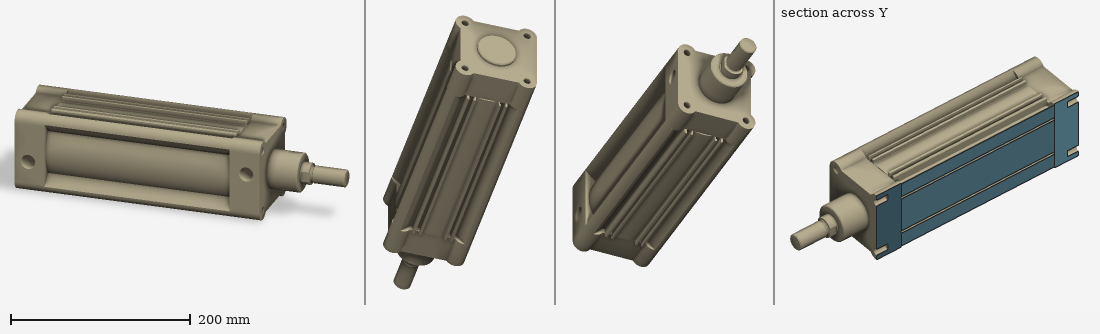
import cadquery as cq
import math


TOTAL_LENGTH = 378.0
BOSS_LENGTH = 3.8
CAP_LENGTH = 35.0
BARREL_LENGTH = 217.5
NECK_LENGTH = 35.0
X_REAR_CAP = BOSS_LENGTH
X_BARREL = X_REAR_CAP + CAP_LENGTH
X_FRONT_CAP = X_BARREL + BARREL_LENGTH
X_NECK = X_FRONT_CAP + CAP_LENGTH
X_ROD = X_NECK + NECK_LENGTH

WIDTH = 94.0
HALF_WIDTH = WIDTH / 2
CORNER_OFFSET = 36.0
CORNER_RADIUS = HALF_WIDTH - CORNER_OFFSET
CORNERS = [(y * CORNER_OFFSET, z * CORNER_OFFSET) for y in (-1, 1) for z in (-1, 1)]
CAP_FLAT = 41.5
BOSS_DIAMETER = 45.0
BOSS_RADIUS = BOSS_DIAMETER / 2
BOSS_CHAMFER = 1.0

CHAMFER_ANGLE = 45.0
TIE_HOLE_DIAMETER = 8.0
TIE_HOLE_RADIUS = TIE_HOLE_DIAMETER / 2
TIE_HOLE_DEPTH = 16.0
TIE_HOLE_CHAMFER = 0.55
PORT_RADIUS = 7.5
PORT_DEPTH = 15.0
PORT_CHAMFER = 0.95
PORT_FROM_END = 16.0
PORT_RISE = 10.0

TUBE_RADIUS = 43.0
ARM_HALF_WIDTH = 6.8
FLOOR_HEIGHT = 36.3
FLOOR_HALF_WIDTH = FLOOR_HEIGHT - ARM_HALF_WIDTH * math.sqrt(2)
OUTER_RAIL_INSIDE = 20.8
OUTER_RAIL_OUTSIDE = 23.5
OUTER_RAIL_CHAMFER = 1.0
INNER_RAIL_INSIDE = 13.2
INNER_RAIL_STEM = 1.5
INNER_RAIL_HEAD = 2.5
INNER_RAIL_FOOT = 1.5
INNER_RAIL_FOOT_TOP = 42.5
INNER_RAIL_HEAD_HEIGHT = 2.5

COLLAR_RADIUS = 12.5
COLLAR_LENGTH = 10.5
WRENCH_FLAT = 11.0
WRENCH_FLAT_START = 1.0
THREAD_DIAMETER = 20.0
THREAD_RADIUS = THREAD_DIAMETER / 2
THREAD_CHAMFER = 1.0
RELIEF_DIAMETER = 17.8
RELIEF_RADIUS = RELIEF_DIAMETER / 2
RELIEF_LENGTH = 3.8


def section_plane(x):
    """Plane square to the axis at x: local x is Y, local y is Z, extruding toward +X."""
    return cq.Workplane("YZ", origin=(x, 0, 0))


def box_between(x, length, y_range, z_range):
    """Block along the axis filling the given Y and Z ranges."""
    y_low, y_high = y_range
    z_low, z_high = z_range
    return (
        section_plane(x)
        .center((y_low + y_high) / 2, (z_low + z_high) / 2)
        .rect(y_high - y_low, z_high - z_low)
        .extrude(length)
    )


def cap_block(x):
    """Square cap with four round corner lobes, left full width on the -Y side."""
    core = box_between(x, CAP_LENGTH, (-CAP_FLAT, CAP_FLAT), (-CAP_FLAT, CAP_FLAT))
    port_side = box_between(x, CAP_LENGTH, (-HALF_WIDTH, 0), (-CORNER_OFFSET, CORNER_OFFSET))
    lobes = section_plane(x).pushPoints(CORNERS).circle(CORNER_RADIUS).extrude(CAP_LENGTH)
    return core.union(port_side).union(lobes)


def countersunk_drill(plane, points, radius, depth, chamfer):
    """Blind holes drilled along the plane's normal, each with a chamfered mouth."""
    start = cq.Workplane(plane).pushPoints(points)
    drill = start.circle(radius).extrude(depth)
    mouth = start.circle(radius + chamfer).extrude(chamfer, taper=CHAMFER_ANGLE)
    return drill.union(mouth)


def tie_holes(x, inward):
    """Four corner holes in the cap face at x; inward is 1 to drill toward +X, -1 toward -X."""
    face = cq.Plane(origin=(x, 0, 0), xDir=(0, 1, 0), normal=(inward, 0, 0))
    return countersunk_drill(face, CORNERS, TIE_HOLE_RADIUS, TIE_HOLE_DEPTH, TIE_HOLE_CHAMFER)


def port(x, z):
    """Air port in the -Y face."""
    face = cq.Plane(origin=(x, -HALF_WIDTH, z), xDir=(1, 0, 0), normal=(0, 1, 0))
    return countersunk_drill(face, [(0, 0)], PORT_RADIUS, PORT_DEPTH, PORT_CHAMFER)


def make_rear_cap():
    boss = section_plane(0).circle(BOSS_RADIUS).extrude(BOSS_LENGTH).faces("<X").chamfer(BOSS_CHAMFER)
    return (
        cap_block(X_REAR_CAP)
        .union(boss)
        .cut(tie_holes(X_REAR_CAP, 1))
        .cut(port(X_REAR_CAP + PORT_FROM_END, -PORT_RISE))
    )


def make_front_cap():
    neck = section_plane(X_NECK).circle(BOSS_RADIUS).extrude(NECK_LENGTH).faces(">X").chamfer(BOSS_CHAMFER)
    return (
        cap_block(X_FRONT_CAP)
        .union(neck)
        .cut(tie_holes(X_NECK, -1))
        .cut(port(X_NECK - PORT_FROM_END, PORT_RISE))
    )


def corner_arm(angle):
    """Arm reaching from the axis to a rounded corner, at the given angle about X."""
    lobe_center = CORNER_OFFSET * math.sqrt(2)
    arc_start = lobe_center + math.sqrt(CORNER_RADIUS**2 - ARM_HALF_WIDTH**2)
    return (
        section_plane(X_BARREL)
        .moveTo(0, -ARM_HALF_WIDTH)
        .lineTo(arc_start, -ARM_HALF_WIDTH)
        .threePointArc((lobe_center + CORNER_RADIUS, 0), (arc_start, ARM_HALF_WIDTH))
        .lineTo(0, ARM_HALF_WIDTH)
        .close()
        .extrude(BARREL_LENGTH)
        .rotate((0, 0, 0), (1, 0, 0), angle)
    )


def sensor_slot():
    """Flat-bottomed channel between the two rails on the +Y half of the top."""
    slot_side = INNER_RAIL_INSIDE + INNER_RAIL_STEM
    return box_between(X_BARREL, BARREL_LENGTH, (slot_side, OUTER_RAIL_INSIDE), (FLOOR_HEIGHT, HALF_WIDTH))


def barrel_extrusion(outline):
    """Closed outline of (Y, Z) points extruded along the whole barrel."""
    return section_plane(X_BARREL).polyline(outline).close().extrude(BARREL_LENGTH)


def outer_rail():
    """Plain wall outside the sensor slot, chamfered along its outer top edge."""
    return barrel_extrusion([
        (OUTER_RAIL_INSIDE, 0),
        (OUTER_RAIL_INSIDE, HALF_WIDTH),
        (OUTER_RAIL_OUTSIDE - OUTER_RAIL_CHAMFER, HALF_WIDTH),
        (OUTER_RAIL_OUTSIDE, HALF_WIDTH - OUTER_RAIL_CHAMFER),
        (OUTER_RAIL_OUTSIDE, 0),
    ])


def inner_rail():
    """Wall inside the sensor slot, with a head overhanging the slot and a flared foot."""
    stem_side = INNER_RAIL_INSIDE + INNER_RAIL_STEM
    head_side = INNER_RAIL_INSIDE + INNER_RAIL_HEAD
    foot_side = INNER_RAIL_INSIDE - INNER_RAIL_FOOT
    head_bottom = HALF_WIDTH - INNER_RAIL_HEAD_HEIGHT
    return barrel_extrusion([
        (foot_side, 0),
        (foot_side, INNER_RAIL_FOOT_TOP - INNER_RAIL_FOOT),
        (INNER_RAIL_INSIDE, INNER_RAIL_FOOT_TOP),
        (INNER_RAIL_INSIDE, HALF_WIDTH),
        (head_side, HALF_WIDTH),
        (head_side, head_bottom),
        (stem_side, head_bottom),
        (stem_side, 0),
    ])


def four_ways(shape):
    """The shape with its mirror images across the XY and XZ planes."""
    pair = shape.union(shape.mirror("XZ"))
    return pair.union(pair.mirror("XY"))


def make_barrel():
    barrel = section_plane(X_BARREL).circle(TUBE_RADIUS).extrude(BARREL_LENGTH)
    floors = box_between(
        X_BARREL,
        BARREL_LENGTH,
        (-FLOOR_HALF_WIDTH, FLOOR_HALF_WIDTH),
        (-FLOOR_HEIGHT, FLOOR_HEIGHT),
    )
    barrel = barrel.union(floors)
    for angle in (45, 135, 225, 315):
        barrel = barrel.union(corner_arm(angle))
    barrel = barrel.cut(four_ways(sensor_slot()))
    return barrel.union(four_ways(outer_rail())).union(four_ways(inner_rail()))


def make_rod():
    """Collar with wrench flats, thread relief and plain threaded end, turned about X."""
    x_relief = X_ROD + COLLAR_LENGTH
    x_thread = x_relief + RELIEF_LENGTH
    relief_slope = THREAD_RADIUS - RELIEF_RADIUS
    rod = (
        cq.Workplane("XY")
        .polyline([
            (X_ROD, 0),
            (X_ROD, COLLAR_RADIUS),
            (x_relief, COLLAR_RADIUS),
            (x_relief, THREAD_RADIUS),
            (x_relief + relief_slope, RELIEF_RADIUS),
            (x_thread - relief_slope, RELIEF_RADIUS),
            (x_thread, THREAD_RADIUS),
            (TOTAL_LENGTH - THREAD_CHAMFER, THREAD_RADIUS),
            (TOTAL_LENGTH, THREAD_RADIUS - THREAD_CHAMFER),
            (TOTAL_LENGTH, 0),
        ])
        .close()
        .revolve(360, (0, 0, 0), (1, 0, 0))
    )
    x_flat = X_ROD + WRENCH_FLAT_START
    z_range = (-COLLAR_RADIUS, COLLAR_RADIUS)
    flat = box_between(x_flat, x_relief - x_flat, (WRENCH_FLAT, COLLAR_RADIUS), z_range)
    return rod.cut(flat).cut(flat.mirror("XZ"))


rear_cap = make_rear_cap()
barrel = make_barrel()
front_cap = make_front_cap()
rod = make_rod()

result = cq.Compound.makeCompound([rear_cap.val(), barrel.val(), front_cap.val(), rod.val()])